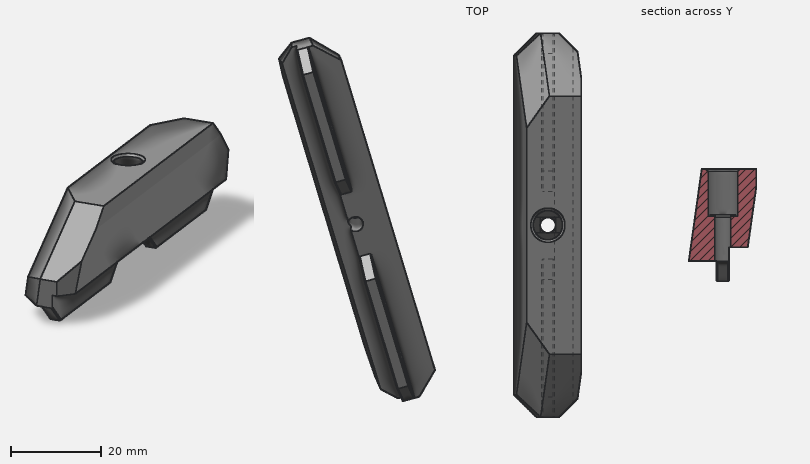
import cadquery as cq
import math

length = 85.0
width = 15.0
height = 20.4
lean = math.tan(math.radians(8))
base_depth = 12.7
end_height = 6.5
front_chamfer = 5.0

step_x = 8.9
step_height = 3.1

corner_cut_start_x = 10.0

tongue_thickness = 2.8
tongue_height = 4.5
tongue_gap = 15.0
tongue_edge_chamfer = 0.25

screw_x = 7.6
shank_diameter = 3.4
bore_diameter = 6.5
mouth_diameter = 7.6
bore_depth = 10.2
relief_depth = 0.25

half_length = length / 2


def make_body():
    """Extrude the leaning profile along Y, then trim the ends to the sloped outline."""
    profile = [
        (0, 0),
        (step_x, 0),
        (step_x, step_height),
        (base_depth + step_height * lean, step_height),
        (width, (width - base_depth) / lean),
        (width, height),
        (height * lean, height),
    ]
    bar = cq.Workplane("XZ").polyline(profile).close().extrude(half_length, both=True)

    top_half_length = half_length - (height - end_height)
    outline = [
        (-half_length, 0),
        (half_length, 0),
        (half_length, end_height),
        (top_half_length, height),
        (-top_half_length, height),
        (-half_length, end_height),
    ]
    body = bar.intersect(cq.Workplane("YZ").polyline(outline).close().extrude(width))

    return body.faces("<X").edges("not |Y").chamfer(front_chamfer)


def make_corner_cut(side):
    """Triangular prism removing the back corner at the +Y (1) or -Y (-1) end."""
    leg = width - corner_cut_start_x
    return (
        cq.Workplane("XY")
        .moveTo(corner_cut_start_x, side * half_length)
        .lineTo(width, side * half_length)
        .lineTo(width, side * (half_length - leg))
        .close()
        .extrude(height)
    )


def make_tongue(side):
    """Tongue with 45 degree ends at the +Y (1) or -Y (-1) half of the body."""
    inner_y = tongue_gap / 2
    profile = [
        (side * inner_y, 0),
        (side * half_length, 0),
        (side * (half_length - tongue_height), -tongue_height),
        (side * (inner_y + tongue_height), -tongue_height),
    ]
    tongue = (
        cq.Workplane("YZ", origin=(step_x - tongue_thickness, 0, 0))
        .polyline(profile)
        .close()
        .extrude(tongue_thickness)
    )
    rims = tongue.faces("|X").edges("not >Z")
    return rims.chamfer(tongue_edge_chamfer)


def make_screw_hole():
    """Countersunk bore from the top, two bridging reliefs and a through shank."""
    bore_floor = height - bore_depth
    mouth_chamfer = (mouth_diameter - bore_diameter) / 2

    axis = cq.Workplane("XY", origin=(screw_x, 0, 0))
    shank = axis.circle(shank_diameter / 2).extrude(height)
    bore = axis.workplane(offset=bore_floor).circle(bore_diameter / 2).extrude(bore_depth)
    mouth = (
        axis.workplane(offset=height)
        .circle(mouth_diameter / 2)
        .workplane(offset=-mouth_chamfer)
        .circle(bore_diameter / 2)
        .loft(ruled=True)
    )
    slot = (
        axis.workplane(offset=bore_floor - relief_depth)
        .rect(bore_diameter, shank_diameter)
        .extrude(relief_depth)
        .intersect(axis.circle(bore_diameter / 2).extrude(height))
    )
    square = (
        axis.workplane(offset=bore_floor - 2 * relief_depth)
        .rect(shank_diameter, shank_diameter)
        .extrude(relief_depth)
    )
    return shank.union(bore).union(mouth).union(slot).union(square)


result = make_body().cut(make_screw_hole())
for side in (1, -1):
    result = result.cut(make_corner_cut(side)).union(make_tongue(side))